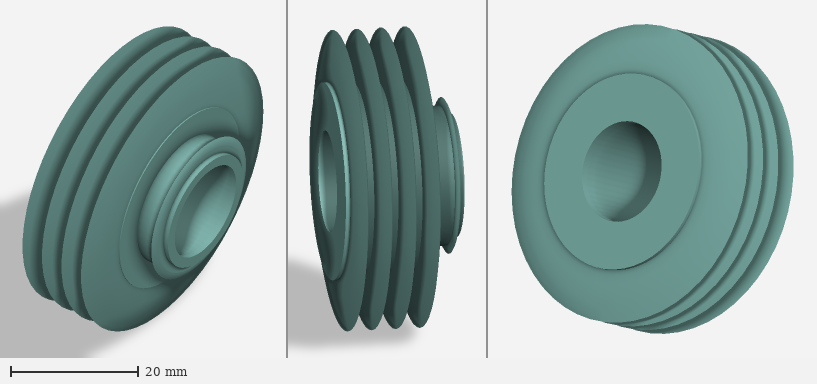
import cadquery as cq

bore_radius = 16.0 / 2
hub_radius = 31.2 / 2
hub_end = 15.0
neck_radius = 22.1 / 2
tail_radius = 19.55 / 2
total_length = 20.1

fin_radius = 23.75
fin_count = 4
fin_pitch = 3.85
first_fin_x = 2.0
fin_root_width = 2.55
fin_bulge = 0.25

collar_radius = 12.35
collar_x = 18.75
collar_root_width = 0.9
collar_bulge = 0.1


def cylinder(start_x, end_x, radius):
    """Solid cylinder about the X axis."""
    return cq.Workplane("YZ").workplane(offset=start_x).circle(radius).extrude(end_x - start_x)


def sharp_disc(center_x, root_radius, tip_radius, root_width, bulge):
    """Disc with convex flanks that narrow from the root to a sharp rim.

    The bulge is how far each flank arc stands out, along X, from its straight chord.
    """
    half_width = root_width / 2
    middle_radius = (root_radius + tip_radius) / 2
    middle_offset = half_width / 2 + bulge
    return (
        cq.Workplane("XY")
        .moveTo(center_x - half_width, 0)
        .lineTo(center_x - half_width, root_radius)
        .threePointArc((center_x - middle_offset, middle_radius), (center_x, tip_radius))
        .threePointArc((center_x + middle_offset, middle_radius), (center_x + half_width, root_radius))
        .lineTo(center_x + half_width, 0)
        .close()
        .revolve(360, (0, 0, 0), (1, 0, 0))
    )


body = cylinder(0, hub_end, hub_radius)
body = body.union(cylinder(hub_end, collar_x, neck_radius))
body = body.union(cylinder(collar_x, total_length, tail_radius))

for index in range(fin_count):
    fin_x = first_fin_x + index * fin_pitch
    body = body.union(sharp_disc(fin_x, hub_radius, fin_radius, fin_root_width, fin_bulge))

body = body.union(sharp_disc(collar_x, neck_radius, collar_radius, collar_root_width, collar_bulge))

result = body.cut(cylinder(0, total_length, bore_radius))